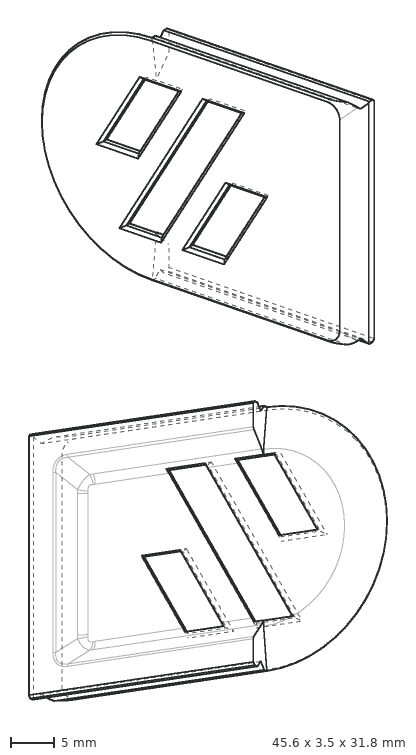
import cadquery as cq
import math

length = 45.6
width = 31.8
depth = 3.5
half_width = width / 2
nose_center_x = half_width

floor_thickness = 1.05
front_chamfer = 0.27
back_chamfer = 0.3
nose_ramp = 5.25

groove_center_y = 1.75
groove_depth = 0.8

end_slope = 2.4
front_corner_radius = 1.8
front_length = length - end_slope

rim_width = 3.35
wall_rise = depth - floor_thickness
recess_corner_radius = 2.3
recess_toe_radius = 1.6
rim_fillet = 0.45

window_center_x = 20.4
window_width = 6.0
long_window_height = 20.8
short_window_height = 10.8
window_pitch = 9.05
window_lean = math.radians(30)
window_bevel = 0.4


def make_nose():
    """Half disc, thinning towards its rim at the back."""
    profile = [
        (0, 0),
        (half_width - front_chamfer, 0),
        (half_width, front_chamfer),
        (half_width - nose_ramp, floor_thickness),
        (0, floor_thickness),
    ]
    disc = cq.Workplane("XY").polyline(profile).close().revolve(360, (0, 0, 0), (0, 1, 0))
    keep = cq.Workplane("XY").box(half_width, depth, width, centered=(False, False, True))
    return disc.translate((nose_center_x, 0, 0)).intersect(keep)


def make_block():
    """Rear block with grooved sides and a sloping end."""
    upper_side = [
        (0, half_width - front_chamfer),
        (front_chamfer, half_width),
        (groove_center_y - groove_depth, half_width),
        (groove_center_y, half_width - groove_depth),
        (groove_center_y + groove_depth, half_width),
        (depth - back_chamfer, half_width),
        (depth, half_width - back_chamfer),
    ]
    lower_side = [(y, -z) for y, z in reversed(upper_side)]
    block = (
        cq.Workplane("YZ", origin=(nose_center_x, 0, 0))
        .polyline(upper_side + lower_side)
        .close()
        .extrude(length - nose_center_x)
    )
    end_wedge = (
        cq.Workplane("XY")
        .polyline([(front_length, 0), (length, 0), (length, end_slope)])
        .close()
        .extrude(half_width, both=True)
    )
    return block.cut(end_wedge)


def front_corner_envelope():
    """Flaring front with evenly rounded corners, and a plain box behind the groove."""
    def rounded_plate(grow):
        return (
            cq.Sketch()
            .rect(front_length + 2 * grow, 2 * (half_width - front_chamfer + grow))
            .vertices()
            .fillet(front_corner_radius)
        )

    flared_front = (
        cq.Workplane("XZ")
        .center(front_length / 2, 0)
        .placeSketch(
            rounded_plate(0),
            rounded_plate(groove_center_y).moved(
                cq.Location(cq.Vector(0, 0, -groove_center_y))
            ),
        )
        .loft()
    )
    back = cq.Workplane("XY").box(length, depth - groove_center_y, width, centered=(False, False, True))
    return flared_front.union(back.translate((0, groove_center_y, 0)))


def make_recess():
    """Cavity cutter, widening from the floor to the back and open towards the nose."""
    rim_half_width = half_width - rim_width
    rim_end = length - rim_width
    return (
        cq.Workplane("XZ", origin=(0, depth, 0))
        .center(rim_end / 2, 0)
        .rect(rim_end, 2 * rim_half_width)
        .extrude(wall_rise, taper=45)
        .edges("not(<Y or >Y)")
        .fillet(recess_corner_radius)
        .faces("<Y")
        .edges()
        .fillet(recess_toe_radius)
    )


def make_window(center_x, bottom_z, height):
    """Leaning parallelogram opening with a bevel at the front face."""
    def outline(inset):
        side_inset = inset / math.cos(window_lean)
        points = []
        for side, end in [(-1, -1), (1, -1), (1, 1), (-1, 1)]:
            z = bottom_z + height / 2 + end * (height / 2 - inset)
            x = center_x + z * math.tan(window_lean) + side * (window_width / 2 - side_inset)
            points.append((x, z))
        return points

    through = cq.Workplane("XZ").polyline(outline(window_bevel)).close().extrude(-depth)
    bevel = (
        cq.Workplane("XZ")
        .polyline(outline(0))
        .close()
        .workplane(offset=-window_bevel)
        .polyline(outline(window_bevel))
        .close()
        .loft(ruled=True)
    )
    return through.union(bevel)


block = make_block().intersect(front_corner_envelope()).cut(make_recess())
selection_margin = 0.05
rim_edges = cq.selectors.BoxSelector(
    (nose_center_x + selection_margin, depth - selection_margin, rim_width - half_width - selection_margin),
    (length - rim_width + selection_margin, depth + selection_margin, half_width - rim_width + selection_margin),
)
block = block.edges(rim_edges).fillet(rim_fillet)
result = make_nose().union(block)

window_bottom = -long_window_height / 2
upper_window_bottom = long_window_height / 2 - short_window_height
windows = [
    (window_center_x, window_bottom, long_window_height),
    (window_center_x - window_pitch, upper_window_bottom, short_window_height),
    (window_center_x + window_pitch, window_bottom, short_window_height),
]
for center_x, bottom_z, height in windows:
    result = result.cut(make_window(center_x, bottom_z, height))